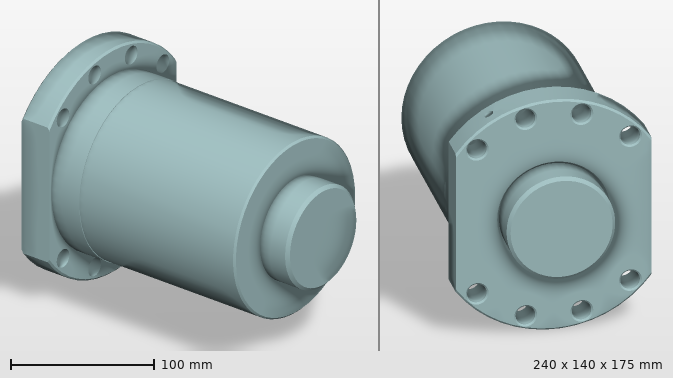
import cadquery as cq
import math

shaft_length = 240.0
shaft_radius = 39.0
shaft_chamfer = 2.5

flange_thickness = 25.0
flange_diameter = 175.0
flange_width = 140.0
flange_chamfer = 1.5

collar_length = 25.0
collar_radius = 67.5
barrel_radius = 67.0
barrel_chamfer = 1.5
bore_chamfer = 1.7

bolt_circle_radius = 77.5
bolt_hole_diameter = 14.0
bolt_hole_chamfer = 1.2
bolt_spacing_angle = 30.0
bolts_per_side = 4

oil_hole_diameter = 7.0
oil_hole_angle = 30.0

shaft_overhang = 25.0
flange_radius = flange_diameter / 2
housing_start = -shaft_length / 2 + shaft_overhang
housing_end = shaft_length / 2 - shaft_overhang
flange_end = housing_start + flange_thickness
collar_end = flange_end + collar_length


def cylinder(start, end, radius):
    """Cylinder along X between two stations."""
    return cq.Workplane("YZ", origin=(start, 0, 0)).circle(radius).extrude(end - start)


def make_shaft():
    """Plain round shaft with both ends chamfered."""
    shaft = cylinder(-shaft_length / 2, shaft_length / 2, shaft_radius)
    return shaft.faces("<X or >X").chamfer(shaft_chamfer)


def make_flange():
    """Chamfered disc cut by two flats parallel to the XZ plane."""
    disc = cylinder(housing_start, flange_end, flange_radius)
    disc = disc.faces("<X or >X").chamfer(flange_chamfer)
    middle = (housing_start + flange_end) / 2
    flats = cq.Workplane("XY", origin=(middle, 0, 0)).box(
        flange_thickness, flange_width, flange_diameter
    )
    return disc.intersect(flats)


def bolt_hole_centers():
    """(Y, Z) centres of two groups of holes, symmetric about +Z and -Z."""
    centers = []
    for side_angle in (90.0, 270.0):
        for index in range(bolts_per_side):
            offset = (index - (bolts_per_side - 1) / 2) * bolt_spacing_angle
            angle = math.radians(side_angle + offset)
            centers.append((bolt_circle_radius * math.cos(angle), bolt_circle_radius * math.sin(angle)))
    return centers


def make_bolt_holes():
    """Through holes in the flange, with the mouth on the outer face chamfered."""
    mouth_radius = bolt_hole_diameter / 2 + bolt_hole_chamfer
    centers = bolt_hole_centers()
    face = cq.Workplane("YZ", origin=(housing_start, 0, 0)).pushPoints(centers)
    holes = face.circle(bolt_hole_diameter / 2).extrude(flange_thickness)
    mouths = face.circle(mouth_radius).extrude(bolt_hole_chamfer, taper=45)
    return holes.union(mouths)


def make_oil_hole():
    """Radial hole from the rim at mid-thickness of the flange into the bore."""
    tilt = math.radians(oil_hole_angle)
    direction = cq.Vector(0, math.sin(tilt), math.cos(tilt))
    middle = cq.Vector((housing_start + flange_end) / 2, 0, 0)
    return cq.Solid.makeCylinder(oil_hole_diameter / 2, flange_radius, middle, direction)


def make_housing():
    """Flanged sleeve bored to fit the shaft."""
    barrel = cylinder(collar_end, housing_end, barrel_radius).faces(">X").chamfer(barrel_chamfer)
    collar = cylinder(flange_end, collar_end, collar_radius)
    housing = make_flange().union(collar).union(barrel)
    housing = housing.cut(cylinder(housing_start, housing_end, shaft_radius))
    bore_mouth = (
        cq.Workplane("YZ", origin=(housing_start, 0, 0))
        .circle(shaft_radius + bore_chamfer)
        .extrude(bore_chamfer, taper=45)
    )
    return housing.cut(bore_mouth).cut(make_bolt_holes()).cut(make_oil_hole())


housing = make_housing()
shaft = make_shaft()

result = cq.Compound.makeCompound([housing.solids().val(), shaft.solids().val()])